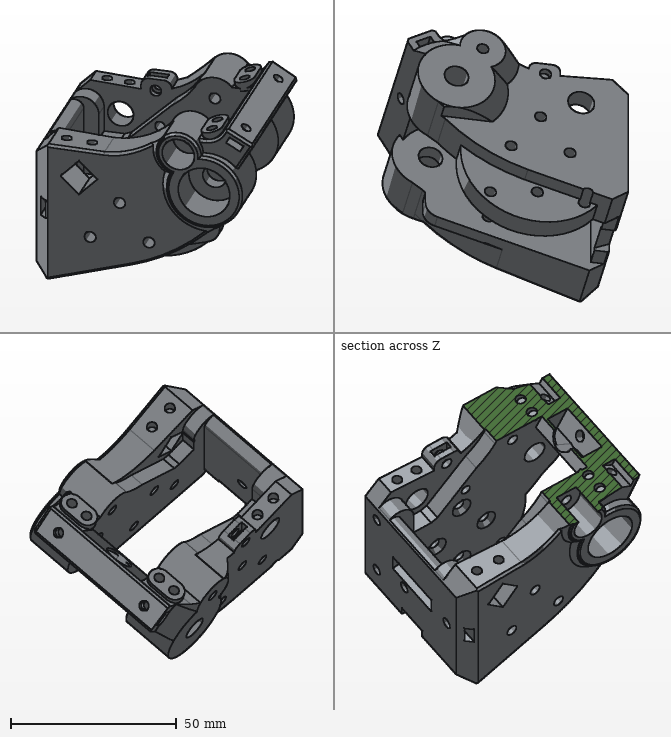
import cadquery as cq
import math

front_boss_y = 0.5
front_pocket_y = 12.1
gap_front_y = 16.6
gap_back_y = 40.4
back_pocket_y = 46.1
back_plate_y = 52.6
back_boss_y = 57.63
front_taper = 0.072

corner = 4.95
left_top_z = 48.35
left_bottom_z = 11.4
corner_bottom_z = 7.8
top_left = (corner, 53.3)
top_arc_start = (22.1, 52.4)
top_arc_middle = (32.3, 54.5)
top_arc_end = (40.9, 60.5)
bottom_slope = 0.289
front_chamfer = 4.6
edge_chamfer = 0.8

boss_small = (45.75, 55.35)
boss_small_radius = 7.0
boss_large = (53.85, 43.7)
boss_large_radius = 11.85
boss_edge_chamfer = 0.8
flare_length = 5.0
flare_setback = 0.4
bearing_depth = 12.0
small_bearing_diameter = 10.1
small_bore_diameter = 3.5
large_bearing_diameter = 16.2
large_bore_diameter = 7.4

bar_angle = 30.6
bar_tip = (59.7, 64.41)
bar_thickness = 10.04
bar_left_length = 10.6
bar_right_length = 11.9
bar_hollow_depth = 10.3
bar_edge_chamfer = 0.8
arm_top_z = 59.75
arm_fillet = 6.0

disc_centre = (27.0, 23.6)
disc_radius = 23.6
disc_back_y = 47.5
wall_thickness = 4.6
wall_top_z = 48.9
wall_bottom_z = 11.0

pad_centres_y = (10.8, 46.55)
pad_centre_x = 54.25
pad_centre_z = 62.0
pad_lean = 15.0

screw_diameter = 3.5
pilot_diameter = 3.1
pilot_depth = 5.0
countersink_diameter = 6.6
nut_width = 6.0
nut_thickness = 2.2

cos_bar = math.cos(math.radians(bar_angle))
sin_bar = math.sin(math.radians(bar_angle))


def bar_point(across, down):
    """XZ point measured across and down the bar from its sharp tip."""
    return (
        bar_tip[0] + across * cos_bar - down * sin_bar,
        bar_tip[1] - across * sin_bar - down * cos_bar,
    )


def outline_plane(y):
    return cq.Workplane("XZ", origin=(0, y, 0))


def box_between(x0, x1, y0, y1, z0, z1):
    return cq.Workplane("XY").box(x1 - x0, y1 - y0, z1 - z0, centered=False).translate((x0, y0, z0))


def cylinder_y(centre, radius, y0, y1):
    return outline_plane(y0).center(*centre).circle(radius).extrude(y0 - y1)


def cylinder_x(y, z, diameter, x0, x1):
    return cq.Workplane("YZ", origin=(x0, y, z)).circle(diameter / 2).extrude(x1 - x0)


def bottom_z(x):
    return corner_bottom_z + bottom_slope * (x - corner)


def side_plate(y0, y1):
    """Plate outline shared by both sides; its lower edge sweeps up into the large boss."""
    bottom_arc_start_x = 31.0
    bottom_arc_middle = (44.2, 21.2)
    bottom_arc_end = (56.4, 31.0)
    boss_tangent = (61.15, 34.5)
    return (
        outline_plane(y0)
        .polyline([(0, left_bottom_z), (0, left_top_z), top_left, top_arc_start])
        .threePointArc(top_arc_middle, top_arc_end)
        .lineTo(*boss_small).lineTo(*boss_large)
        .lineTo(*boss_tangent).lineTo(*bottom_arc_end)
        .threePointArc(bottom_arc_middle, (bottom_arc_start_x, bottom_z(bottom_arc_start_x)))
        .lineTo(corner, corner_bottom_z).close().extrude(y0 - y1)
    )


def front_foot():
    """Rounded corner below the curved edge, on the inside layer of the front plate."""
    foot_x = 55.4
    foot_start_x = 30.0
    foot_radius = 5.0
    foot = (
        outline_plane(front_pocket_y)
        .polyline([
            (foot_start_x, bottom_z(foot_start_x)), (foot_x, bottom_z(foot_x)),
            (foot_x, boss_large[1]), (foot_start_x, boss_large[1]),
        ]).close().extrude(front_pocket_y - gap_front_y)
    )
    foot_edge = cq.selectors.NearestToPointSelector(
        (foot_x, (front_pocket_y + gap_front_y) / 2, bottom_z(foot_x)))
    return foot.edges("|Y").edges(foot_edge).fillet(foot_radius)


def arm(y0, y1):
    """Joins the bosses to the end bar with a hollow round below the bar tip."""
    bar_face_x = bar_tip[0] - (bar_tip[1] - arm_top_z) * sin_bar / cos_bar
    inner_corner = (bar_face_x, arm_top_z)
    body = (
        outline_plane(y0).moveTo(*boss_small)
        .lineTo(boss_small[0], arm_top_z).lineTo(*inner_corner).lineTo(*bar_tip)
        .lineTo(*bar_point(bar_thickness, 0)).lineTo(*bar_point(bar_thickness, bar_right_length))
        .lineTo(*boss_large).close().extrude(y0 - y1)
    )
    nearest = cq.selectors.NearestToPointSelector((bar_face_x, (y0 + y1) / 2, arm_top_z))
    return body.edges("|Y").edges(nearest).fillet(arm_fillet)


def front_bosses():
    y0, y1 = front_boss_y, gap_front_y
    small = cylinder_y(boss_small, boss_small_radius, y0, y1)
    large = cylinder_y(boss_large, boss_large_radius, y0, y1)
    return small.union(large).faces("<Y").edges().chamfer(boss_edge_chamfer)


def flare(centre, radius, outer_y, inner_y):
    """45 degree cone that widens from the outer end of a boss."""
    height = abs(inner_y - outer_y)
    return (
        outline_plane(outer_y).center(*centre).circle(radius)
        .workplane(offset=outer_y - inner_y).circle(radius + height).loft()
    )


def boss_flares(outer_y, inner_y):
    small = flare(boss_small, boss_small_radius, outer_y, inner_y)
    large = flare(boss_large, boss_large_radius, outer_y, inner_y)
    return small.union(large)


def front_y(x):
    """Y of the tapered front face."""
    return front_taper * (x - corner)


def front_taper_cutter():
    """Everything in front of the tapered front face and its sloped left corner."""
    margin = 10.0
    far_x = 80.0
    height = 100.0
    return (
        cq.Workplane("XY").polyline([
            (-margin, front_chamfer * (1 + margin / corner)), (corner, 0),
            (far_x, front_y(far_x)), (far_x, -margin), (-margin, -margin),
        ]).close().extrude(height)
    )


def front_side():
    """Front plate with chamfered top and bottom edges, flared bosses and the foot."""
    plate = side_plate(0, gap_front_y).cut(front_taper_cutter())
    face_x, face_z = 27.0, 28.0
    front_face = cq.selectors.NearestToPointSelector((face_x, front_y(face_x), face_z))
    edge_start_x = 5.5
    edge_depth = 5.0
    top_edges = cq.selectors.BoxSelector((edge_start_x, 0, 50), (boss_small[0], edge_depth, 60))
    bottom_edges = cq.selectors.BoxSelector((edge_start_x, 0, 0), (60, edge_depth, 36))
    plate = plate.faces(front_face).edges(top_edges + bottom_edges).chamfer(edge_chamfer)
    flares = boss_flares(front_boss_y + flare_setback, front_boss_y + flare_length)
    flares = flares.intersect(side_plate(0, gap_front_y))
    plate = plate.union(front_foot())
    return plate.union(flares).union(front_bosses())


def back_side():
    """Back plate with the motor disc and the bosses flaring out of its outer face."""
    far_x = 80.0
    body = side_plate(gap_back_y, back_plate_y)
    body = body.union(cylinder_y(disc_centre, disc_radius, gap_back_y, disc_back_y))
    boss_bottom_z = boss_large[1] - boss_large_radius
    below_boss = box_between(0, far_x, back_plate_y, back_boss_y, 0, boss_bottom_z)
    flare_limit = side_plate(back_plate_y, back_boss_y).union(arm(back_plate_y, back_boss_y))
    flares = boss_flares(back_boss_y, back_plate_y).intersect(flare_limit)
    body = body.union(flares.cut(below_boss))
    for centre, radius in ((boss_small, boss_small_radius), (boss_large, boss_large_radius)):
        body = body.union(cylinder_y(centre, radius, gap_back_y, back_boss_y))
    return body


def inside_recess(y0, y1):
    """Stepped space above the inside layer of a side plate, right of a round topped lug."""
    lug_centre = (4.3, 45.2)
    lug_radius = 5.0
    lug_right = lug_centre[0] + lug_radius
    lug_start_x = wall_top_z - left_top_z
    floor_z = 36.7
    boss_side = (39.4, 58.2)
    space_top_z = 64.0
    space = (
        outline_plane(y0).moveTo(lug_right, floor_z).lineTo(15.8, floor_z)
        .lineTo(18.1, 37.6).lineTo(32.4, 51.3)
        .threePointArc((36.5, 54.7), boss_side)
        .lineTo(boss_small[0], boss_side[1]).lineTo(boss_small[0], space_top_z)
        .lineTo(lug_start_x, space_top_z).lineTo(lug_start_x, wall_top_z)
        .threePointArc((lug_centre[0], lug_centre[1] + lug_radius), (lug_right, lug_centre[1]))
        .close().extrude(y0 - y1)
    )
    return space.cut(cylinder_y(boss_small, boss_small_radius, y0, y1))


def end_bar():
    """Leaning bar with its two arms, open between the side plates down to a hollow underside."""
    body = arm(0, back_plate_y)
    body = body.cut(front_taper_cutter())
    face_x, face_z = 57.0, 54.0
    front_face = cq.selectors.NearestToPointSelector((face_x, front_y(face_x), face_z))
    exposed_low = (47.0, 0, 50.5)
    exposed_high = (70.0, 8.0, 70.0)
    front_edges = cq.selectors.BoxSelector(exposed_low, exposed_high)
    body = body.faces(front_face).edges(front_edges).chamfer(edge_chamfer)
    for top_edge in (bar_point(0, 0), bar_point(bar_thickness, 0)):
        nearest = cq.selectors.NearestToPointSelector((top_edge[0], back_plate_y / 2, top_edge[1]))
        body = body.edges("|Y").edges(nearest).chamfer(bar_edge_chamfer)
    opening_left, opening_right = 30.0, 70.0
    opening_bottom, opening_top = 30.0, 70.0
    above_tip = -10.0
    hollow_crown = bar_point(bar_thickness / 2, bar_hollow_depth)
    opening = (
        outline_plane(gap_front_y).moveTo(opening_left, opening_bottom)
        .lineTo(opening_left, opening_top)
        .lineTo(*bar_point(0, above_tip)).lineTo(*bar_point(0, bar_left_length))
        .threePointArc(hollow_crown, bar_point(bar_thickness, bar_right_length))
        .lineTo(opening_right, opening_bottom).close().extrude(gap_front_y - gap_back_y)
    )
    return body.cut(opening)


def screw_pads(y_centre):
    """Oblong pad leaning above the arm, and its two pilot holes."""
    pad_diameter = 6.7
    pad_height = 3.0
    hole_pitch = 6.0
    plane = cq.Plane(
        origin=(pad_centre_x, y_centre, pad_centre_z), xDir=(0, 1, 0),
        normal=(-math.sin(math.radians(pad_lean)), 0, math.cos(math.radians(pad_lean))),
    )
    pad = cq.Workplane(plane).slot2D(hole_pitch + pad_diameter, pad_diameter).extrude(-pad_height)
    holes = (
        cq.Workplane(plane).pushPoints([(-hole_pitch / 2, 0), (hole_pitch / 2, 0)])
        .circle(pilot_diameter / 2).extrude(-pilot_depth)
    )
    return pad, holes


def left_wall():
    """Wall joining the plates, with a rounded top, a bottom notch and a strap slot."""
    round_bottom_z = 46.8
    round_middle = (3.45, 48.5)
    bottom_bevel_x = 0.5
    wall = (
        outline_plane(gap_front_y).moveTo(0, left_bottom_z).lineTo(0, left_top_z)
        .lineTo(wall_top_z - left_top_z, wall_top_z)
        .threePointArc(round_middle, (wall_thickness, round_bottom_z))
        .lineTo(wall_thickness, wall_bottom_z).lineTo(bottom_bevel_x, wall_bottom_z)
        .close().extrude(gap_front_y - gap_back_y)
    )
    notch_start_y, notch_end_y = 22.6, 33.4
    notch_outer_z, notch_inner_z = 14.1, 11.9
    notch = (
        outline_plane(notch_start_y)
        .polyline([(0, notch_outer_z), (wall_thickness, notch_inner_z), (wall_thickness, 0), (0, 0)])
        .close().extrude(notch_start_y - notch_end_y)
    )
    slot_start_y, slot_end_y = 17.7, 38.0
    slot_depth = 3.0
    slot_section = [(0, 28.4), (slot_depth, 29.3), (slot_depth, 32.7), (0, 33.9)]
    strap_slot = (
        outline_plane(slot_start_y).polyline(slot_section).close().extrude(slot_start_y - slot_end_y)
    )
    return wall.cut(notch).cut(strap_slot)


def back_tab():
    """Raised tab on top of the back plate, and its screw hole with a nut slot."""
    tab_left, tab_right = 20.9, 30.6
    tab_root_z, tab_top_z = 45.0, 56.3
    tab_corner_radius = 2.5
    hole_x, hole_z = 25.5, 52.5
    slot_y = 48.2
    slot_bottom_z = hole_z - nut_width / 2
    tab = box_between(tab_left, tab_right, back_pocket_y, back_plate_y, tab_root_z, tab_top_z)
    tab = tab.edges("|Y and >Z").fillet(tab_corner_radius)
    hole = cylinder_y((hole_x, hole_z), screw_diameter / 2, back_pocket_y, back_plate_y)
    slot = box_between(
        hole_x - nut_width / 2, hole_x + nut_width / 2,
        slot_y, slot_y + nut_thickness, slot_bottom_z, tab_top_z,
    )
    return tab, hole.union(slot)


def boss_bores():
    """Through bores of both bosses with bearing seats entered from the front."""
    bores = cylinder_y(boss_small, small_bore_diameter / 2, 0, back_boss_y)
    bores = bores.union(cylinder_y(boss_large, large_bore_diameter / 2, 0, back_boss_y))
    bores = bores.union(cylinder_y(boss_small, small_bearing_diameter / 2, 0, bearing_depth))
    return bores.union(cylinder_y(boss_large, large_bearing_diameter / 2, 0, bearing_depth))


def countersunk_hole(centre):
    """Hole along Y through both plates, countersunk in the inner face of the back plate."""
    depth = (countersink_diameter - screw_diameter) / 2
    sink = (
        outline_plane(gap_back_y).center(*centre).circle(countersink_diameter / 2)
        .workplane(offset=-depth).circle(screw_diameter / 2).loft()
    )
    return cylinder_y(centre, screw_diameter / 2, 0, back_plate_y).union(sink)


def plate_holes():
    """Motor screws, disc screws and the square nut window with the round hole behind it."""
    x, z = disc_centre
    motor_screw_z = 12.4
    motor_screw_x = 9.05
    holes = countersunk_hole((x, z + motor_screw_z))
    for dx, dz in ((0, -motor_screw_z), (-motor_screw_x, 0), (motor_screw_x, 0)):
        holes = holes.union(countersunk_hole((x + dx, z + dz)))
    disc_screw_offset = 14.45
    for side in (-1, 1):
        centre = (x + side * disc_screw_offset, z - disc_screw_offset)
        holes = holes.union(cylinder_y(centre, screw_diameter / 2, gap_back_y, back_plate_y))
    disc_slot_z = 3.6
    disc_slot_shift = 1.0
    disc_slot_tilt = 3.0
    disc_slot_depth = 5.0
    slot = (
        outline_plane(gap_back_y).center(x + disc_slot_shift, disc_slot_z)
        .transformed(rotate=(0, 0, disc_slot_tilt))
        .rect(nut_width, nut_thickness).extrude(-disc_slot_depth)
    )
    inner_pilot_centre = (28.5, 43.6)
    inner_pilot = cylinder_y(inner_pilot_centre, pilot_diameter / 2, gap_back_y, back_pocket_y)
    window_centre = (14.5, 43.2)
    window_side = 8.0
    round_hole_diameter = 8.1
    window = (
        outline_plane(0).center(*window_centre).transformed(rotate=(0, 0, 45))
        .rect(window_side, window_side).extrude(-gap_front_y)
    )
    round_hole = cylinder_y(window_centre, round_hole_diameter / 2, gap_back_y, back_plate_y)
    return holes.union(slot).union(inner_pilot).union(window).union(round_hole)


def left_face_holes():
    """Screw holes entered from the left face, and the nut slot in the sloped corner."""
    blind_depth = 8.0
    wall_hole = (32.0, 25.4)
    back_holes = ((46.5, 43.0), (46.5, 19.1))
    front_hole = (9.6, 31.0)
    holes = cylinder_x(*wall_hole, screw_diameter, 0, wall_thickness)
    for y, z in (*back_holes, front_hole):
        holes = holes.union(cylinder_x(y, z, screw_diameter, 0, blind_depth))
    slot_x = 1.9
    y, z = front_hole
    half_nut = nut_width / 2
    slot = box_between(slot_x, slot_x + nut_thickness, 0, y + half_nut, z - half_nut, z + half_nut)
    return holes.union(slot)


def top_pilot_holes():
    """Two blind holes in the top of each side plate."""
    front_holes = [(9.0, 6.5), (17.0, 6.5)]
    back_holes = [(9.4, 49.2), (16.5, 49.2)]
    hole_bottom_z = 48.5
    holes = cq.Workplane("XY", origin=(0, 0, hole_bottom_z)).pushPoints(front_holes + back_holes)
    return holes.circle(pilot_diameter / 2).extrude(top_left[1] - hole_bottom_z)


def bar_holes():
    """Screws and nut slots at both bar ends, and the cross hole into a hollow in the middle."""
    top_middle = bar_point(bar_thickness / 2, 0)
    screw_depth = 10.0
    slot_drop = 1.9
    slot_width = 5.0
    cross_diameter = 9.0
    cross_depth = 7.0
    cross_y = 29.5
    cross_drop = 5.5
    screw_ys = (11.2, 46.2)
    down = (-sin_bar, 0, -cos_bar)
    across = (cos_bar, 0, -sin_bar)
    start = bar_point(0, cross_drop)
    cross_plane = cq.Plane(origin=(start[0], cross_y, start[1]), xDir=(0, 1, 0), normal=across)
    holes = cq.Workplane(cross_plane).circle(cross_diameter / 2).extrude(cross_depth)
    holes = holes.union(cq.Workplane(cross_plane).circle(screw_diameter / 2).extrude(bar_thickness))
    skin = 0.8
    cavity_half_width = 9.0
    cavity_top, cavity_bottom = 2.0, 9.7
    cavity = (
        outline_plane(cross_y - cavity_half_width).polyline([
            bar_point(skin, cavity_top), bar_point(cross_depth, cavity_top),
            bar_point(cross_depth, cavity_bottom), bar_point(skin, cavity_bottom),
        ]).close().extrude(-2 * cavity_half_width)
    )
    holes = holes.union(cavity)
    slot_middle = bar_point(bar_thickness / 2, slot_drop)
    slot_reach = 16.0
    slot_offset = (slot_reach - nut_width) / 2
    for y, outward in zip(screw_ys, (-1, 1)):
        slot_y = y + outward * slot_offset
        screw_plane = cq.Plane(origin=(top_middle[0], y, top_middle[1]), xDir=(0, 1, 0), normal=down)
        slot_plane = cq.Plane(origin=(slot_middle[0], slot_y, slot_middle[1]), xDir=(0, 1, 0), normal=down)
        holes = holes.union(cq.Workplane(screw_plane).circle(pilot_diameter / 2).extrude(screw_depth))
        holes = holes.union(cq.Workplane(slot_plane).rect(slot_reach, slot_width).extrude(nut_thickness))
    return holes


part = front_side().union(back_side())
part = part.cut(inside_recess(front_pocket_y, gap_front_y))
part = part.cut(inside_recess(gap_back_y, back_pocket_y))
part = part.union(end_bar()).union(left_wall())
tab, tab_holes = back_tab()
part = part.union(tab).cut(tab_holes)
for y_centre in pad_centres_y:
    pad, pad_holes = screw_pads(y_centre)
    part = part.union(pad).cut(pad_holes)

part = part.cut(boss_bores()).cut(plate_holes()).cut(left_face_holes())
result = part.cut(top_pilot_holes()).cut(bar_holes())